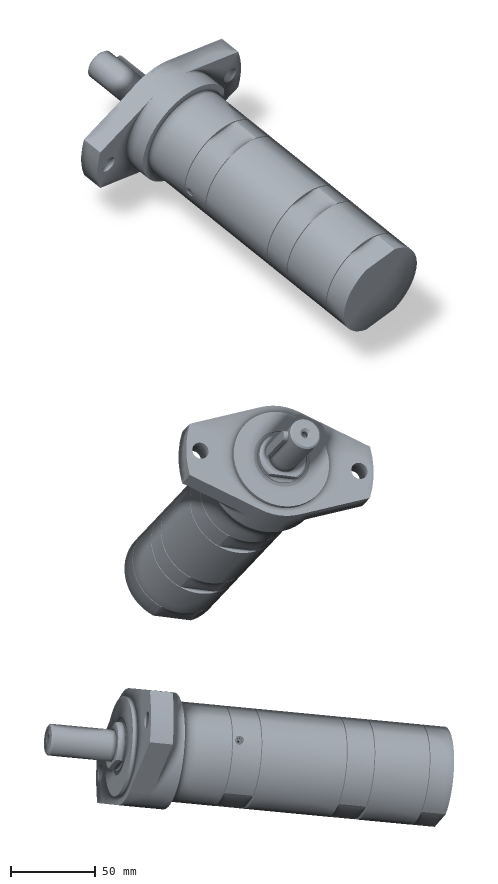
import cadquery as cq
import math


shaft_diameter = 19.0
shaft_chamfer = 1.0
shaft_relief_start = 36.0
shaft_relief_diameter = 18.7
key_start = 4.9
key_end = 37.2
key_width = 6.0
key_height = 12.2
centre_mouth_diameter = 6.8
centre_drill_diameter = 4.0
centre_cone_depth = 1.5
centre_drill_depth = 4.9
drill_point_half_angle = 59

collar_start = 39.5
collar_diameter = 30.0
collar_chamfer = 1.0
collar_across_flats = 24.0
collar_neck_width = 0.7
collar_neck_diameter = 29.2
shaft_clearance_diameter = 20.0
shaft_clearance_depth = 0.7

pilot_start = 44.0
pilot_diameter = 60.0
seal_recess_diameter = 35.0
seal_recess_depth = 0.7
flange_start = 47.0
flange_end = 61.0
flange_span = 118.0
flange_end_width = 32.8
bolt_hole_diameter = 10.2
bolt_spacing = 100.0
hub_end = 74.8
hub_diameter = 70.0
hub_notch_start = 69.0
hub_notch_offset = 31.5

body_diameter = 60.0
body_end = 243.0
across_flats = 55.2
neck_width = 0.6
neck_diameter = 58.3
port_flats = (105.5, 124.2)
middle_flats = (176.5, 194.2)
end_flats = (227.7, body_end)
port_x = 110.0
port_steps = ((5.5, 1.0), (5.0, 1.7), (4.1, 2.5), (1.55, 4.9))


def cylinder(start, end, diameter):
    """A cylinder on the drive axis."""
    return cq.Workplane("YZ", origin=(start, 0, 0)).circle(diameter / 2).extrude(end - start)


def flats_cutter(start, end, diameter, width):
    """What must be removed from a cylinder to leave flats on its top and bottom."""
    keep = cq.Workplane("XY").box(end - start, diameter, width).translate(((start + end) / 2, 0, 0))
    return cylinder(start, end, diameter).cut(keep)


def ring(start, end, outer_diameter, inner_diameter):
    """A ring around the drive axis."""
    return cylinder(start, end, outer_diameter).cut(cylinder(start, end, inner_diameter))


def make_shaft():
    shaft = cylinder(0, shaft_relief_start, shaft_diameter).faces("<X").chamfer(shaft_chamfer)
    shaft = shaft.union(cylinder(shaft_relief_start, pilot_start, shaft_relief_diameter))
    key = (
        cq.Workplane("XZ")
        .center((key_start + key_end) / 2, 0)
        .slot2D(key_end - key_start, key_width)
        .extrude(-key_height)
    )
    mouth_radius = centre_mouth_diameter / 2
    drill_radius = centre_drill_diameter / 2
    tip_depth = centre_drill_depth + drill_radius / math.tan(math.radians(drill_point_half_angle))
    centre_hole = (
        cq.Workplane("XY")
        .moveTo(0, 0)
        .lineTo(0, mouth_radius)
        .lineTo(centre_cone_depth, drill_radius)
        .lineTo(centre_drill_depth, drill_radius)
        .lineTo(tip_depth, 0)
        .close()
        .revolve(360, (0, 0, 0), (1, 0, 0))
    )
    return shaft.union(key).cut(centre_hole)


def make_collar():
    """A chamfered collar with two flats, a shallow neck at its root and a clearance ring at the shaft."""
    collar = cylinder(collar_start, pilot_start, collar_diameter).faces("<X").chamfer(collar_chamfer)
    collar = collar.cut(flats_cutter(collar_start, pilot_start, collar_diameter, collar_across_flats))
    neck_start = pilot_start - collar_neck_width
    collar = collar.cut(ring(neck_start, pilot_start, collar_diameter, collar_neck_diameter))
    clearance_end = collar_start + shaft_clearance_depth
    return collar.cut(ring(collar_start, clearance_end, shaft_clearance_diameter, shaft_relief_diameter))


def make_flange():
    """A plate whose straight sides run tangent to the hub and end on large arcs."""
    hub_radius = hub_diameter / 2
    end_radius = flange_span / 2
    corner_z = flange_end_width / 2
    corner_y = math.sqrt(end_radius**2 - corner_z**2)
    tangent_angle = math.atan2(corner_z, corner_y) + math.acos(hub_radius / end_radius)
    tangent_y = hub_radius * math.cos(tangent_angle)
    tangent_z = hub_radius * math.sin(tangent_angle)
    return (
        cq.Workplane("YZ", origin=(flange_start, 0, 0))
        .moveTo(corner_y, -corner_z)
        .threePointArc((end_radius, 0), (corner_y, corner_z))
        .lineTo(tangent_y, tangent_z)
        .threePointArc((0, hub_radius), (-tangent_y, tangent_z))
        .lineTo(-corner_y, corner_z)
        .threePointArc((-end_radius, 0), (-corner_y, -corner_z))
        .lineTo(-tangent_y, -tangent_z)
        .threePointArc((0, -hub_radius), (tangent_y, -tangent_z))
        .close()
        .extrude(flange_end - flange_start)
        .faces("<X")
        .workplane(origin=(flange_start, 0, 0))
        .pushPoints([(-bolt_spacing / 2, 0), (bolt_spacing / 2, 0)])
        .hole(bolt_hole_diameter)
    )


def make_hub():
    notch = cq.Workplane("XY").box(
        hub_end - hub_notch_start, hub_diameter, hub_diameter, centered=(False, False, True)
    )
    hub = cylinder(flange_start, hub_end, hub_diameter)
    return hub.cut(notch.translate((hub_notch_start, hub_notch_offset, 0)))


def make_body():
    body = cylinder(hub_end, body_end, body_diameter)
    for start, end in (port_flats, middle_flats, end_flats):
        body = body.cut(flats_cutter(start, end, body_diameter, across_flats))
    neck_starts = (
        port_flats[0],
        port_flats[1] - neck_width,
        middle_flats[0],
        middle_flats[1] - neck_width,
        end_flats[0],
    )
    for start in neck_starts:
        body = body.cut(ring(start, start + neck_width, body_diameter, neck_diameter))
    for diameter, depth in port_steps:
        bore = cq.Workplane("XZ", origin=(port_x, -body_diameter / 2, 0)).circle(diameter / 2)
        body = body.cut(bore.extrude(-depth))
    return body


def make_pilot():
    """A shallow disc with a ring-shaped seal recess around the full-round end of the collar."""
    recess_end = pilot_start + seal_recess_depth
    recess = ring(pilot_start, recess_end, seal_recess_diameter, collar_diameter)
    return cylinder(pilot_start, flange_start, pilot_diameter).cut(recess)


result = make_shaft().union(make_collar()).union(make_pilot()).union(make_flange())
result = result.union(make_hub()).union(make_body())